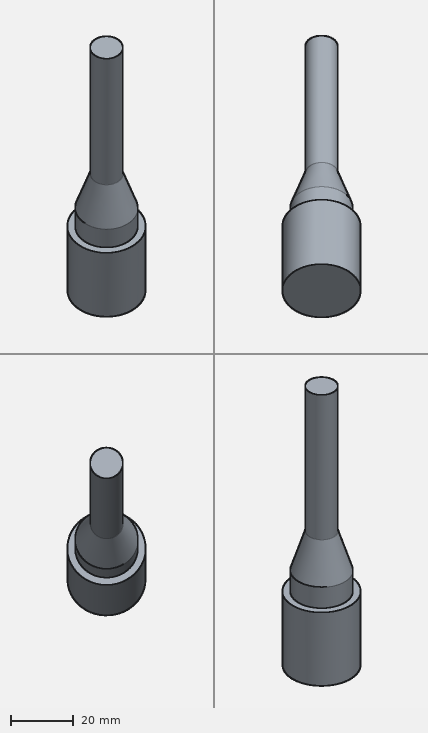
import cadquery as cq

base_diameter = 25.0
collar_diameter = 20.0
pin_diameter = 10.5

total_height = 106.0
base_height = 28.0
collar_height = 8.1
taper_height = 14.9
collar_top = base_height + collar_height
taper_top = collar_top + taper_height

profile = (
    cq.Workplane("XZ")
    .lineTo(base_diameter / 2, 0)
    .lineTo(base_diameter / 2, base_height)
    .lineTo(collar_diameter / 2, base_height)
    .lineTo(collar_diameter / 2, collar_top)
    .lineTo(pin_diameter / 2, taper_top)
    .lineTo(pin_diameter / 2, total_height)
    .lineTo(0, total_height)
    .close()
)

result = profile.revolve(360, (0, 0, 0), (0, 1, 0))